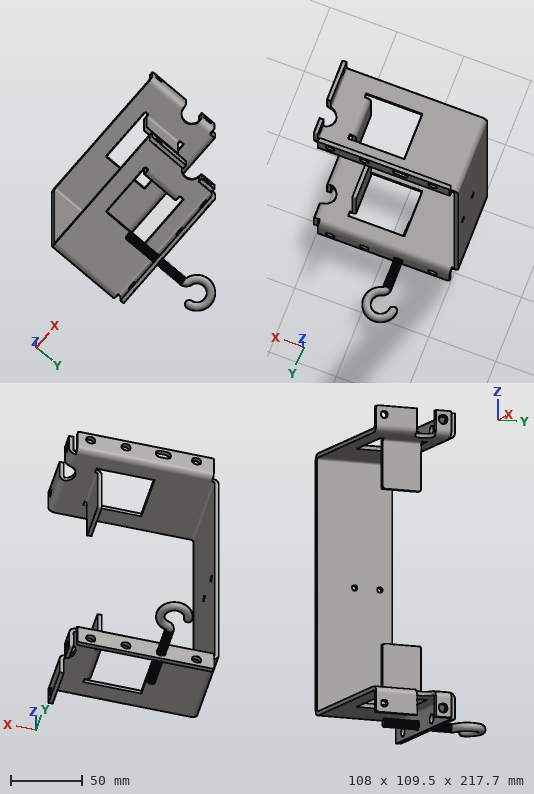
import cadquery as cq
import math

LENGTH_X = 108.0
HEIGHT = 217.7
WALL_DEPTH = 57.0
SHEET = 3.0
BEND_INNER = 1.7
FLANGE_HEIGHT = 15.7
FLANGE_CORNER = 1.5

BEND_OUTER = BEND_INNER + SHEET
HALF_HEIGHT = HEIGHT / 2
PLATE_OUTER = HALF_HEIGHT - FLANGE_HEIGHT
PLATE_INNER = PLATE_OUTER - SHEET
BACK_Y = WALL_DEPTH + BEND_OUTER
BACK_LEFT = BEND_OUTER
BACK_RIGHT = LENGTH_X - BEND_OUTER

WINDOW_LEFT = 44.0
WINDOW_RIGHT = 85.8
WINDOW_FRONT = 12.5
WINDOW_BACK = 47.7
TAB_FRONT = 15.2
TAB_WIDTH = 29.0
TAB_END_Z = 55.0
TAB_LEFT = WINDOW_RIGHT - BEND_OUTER

NOTCH_WIDTH = 14.4
NOTCH_Y = 38.0
NOTCH_DEPTH = 9.4
HOLE_Z = HALF_HEIGHT - 6.3
BACK_HOLE_DIAMETER = 6.5
BACK_HOLE_FIRST_X = 17.5
BACK_HOLE_PITCH = 25.5
PLAIN_HOLE_INDICES = (0, 2, 3)
BOLT_HOLE_INDEX = 1
SLOT_X = 41.4
SLOT_LENGTH = 11.0
SIDE_FRONT_HOLE_Y = 6.0
SIDE_FRONT_HOLE_DIAMETER = 5.0
SIDE_BACK_HOLE_Y = 50.7
SIDE_BACK_HOLE_DIAMETER = 6.5
WEB_HOLE_DIAMETER = 4.0
WEB_HOLE_YS = (28.5, 47.7)

BOLT_X = BACK_HOLE_FIRST_X + BOLT_HOLE_INDEX * BACK_HOLE_PITCH
BOLT_TIP_Y = 33.3
ROD_DIAMETER = 6.0
THREAD_TURNS = 50
THREAD_DEPTH = 0.6
HOOK_RADIUS = 9.8
NECK_RADIUS = 3.7
HOOK_TOP_Y = 109.5
HOOK_END_ANGLE = 173.0

ROD_RADIUS = ROD_DIAMETER / 2
HOOK_Y = HOOK_TOP_Y - ROD_RADIUS - HOOK_RADIUS
NECK_ANGLE = math.acos(NECK_RADIUS / (HOOK_RADIUS + NECK_RADIUS))
NECK_Y = HOOK_Y - (HOOK_RADIUS + NECK_RADIUS) * math.sin(NECK_ANGLE)


def box(x0, x1, y0, y1, z0, z1):
    """Axis-aligned block between opposite corners."""
    return cq.Workplane("XY").box(x1 - x0, y1 - y0, z1 - z0, centered=False).translate((x0, y0, z0))


def bend_edge(body, corner, direction, radius):
    """Round the straight edge that runs along `direction` through the point `corner`."""
    reach = 0.02
    low = [c - reach for c in corner]
    high = [c + reach for c in corner]
    axis = "XYZ".index(direction)
    low[axis] = -HEIGHT
    high[axis] = HEIGHT
    return body.edges(cq.selectors.BoxSelector(low, high)).fillet(radius)


def make_strip():
    """Upper half of the web, the top plate and the side flange, bent from one strip."""
    outline = [
        (0, 0),
        (0, PLATE_OUTER),
        (LENGTH_X - SHEET, PLATE_OUTER),
        (LENGTH_X - SHEET, HALF_HEIGHT),
        (LENGTH_X, HALF_HEIGHT),
        (LENGTH_X, PLATE_INNER),
        (SHEET, PLATE_INNER),
        (SHEET, 0),
    ]
    strip = cq.Workplane("XZ").polyline(outline).close().extrude(-WALL_DEPTH)
    strip = bend_edge(strip, (0, 0, PLATE_OUTER), "Y", BEND_OUTER)
    strip = bend_edge(strip, (SHEET, 0, PLATE_INNER), "Y", BEND_INNER)
    strip = bend_edge(strip, (LENGTH_X, 0, PLATE_INNER), "Y", BEND_OUTER)
    strip = bend_edge(strip, (LENGTH_X - SHEET, 0, PLATE_OUTER), "Y", BEND_INNER)
    for y in (0, WALL_DEPTH):
        strip = bend_edge(strip, (LENGTH_X, y, HALF_HEIGHT), "X", FLANGE_CORNER)
    return strip


def make_back_flange():
    """Flange bent up from the rear edge of the top plate."""
    root_y = WALL_DEPTH - SHEET
    outline = [
        (root_y, PLATE_INNER),
        (root_y, PLATE_OUTER),
        (BACK_Y - SHEET, PLATE_OUTER),
        (BACK_Y - SHEET, HALF_HEIGHT),
        (BACK_Y, HALF_HEIGHT),
        (BACK_Y, PLATE_INNER),
    ]
    flange = cq.Workplane("YZ", origin=(BACK_LEFT, 0, 0)).polyline(outline).close()
    flange = flange.extrude(BACK_RIGHT - BACK_LEFT)
    flange = bend_edge(flange, (0, BACK_Y, PLATE_INNER), "X", BEND_OUTER)
    flange = bend_edge(flange, (0, BACK_Y - SHEET, PLATE_OUTER), "X", BEND_INNER)
    for x in (BACK_LEFT, BACK_RIGHT):
        flange = bend_edge(flange, (x, BACK_Y, HALF_HEIGHT), "Y", FLANGE_CORNER)
    return flange


def make_tab():
    """Tab bent down from the right edge of the window."""
    root_x = WINDOW_RIGHT + SHEET
    inner_x = TAB_LEFT + SHEET
    outline = [
        (root_x, PLATE_OUTER),
        (TAB_LEFT, PLATE_OUTER),
        (TAB_LEFT, TAB_END_Z),
        (inner_x, TAB_END_Z),
        (inner_x, PLATE_INNER),
        (root_x, PLATE_INNER),
    ]
    tab = cq.Workplane("XZ", origin=(0, TAB_FRONT, 0)).polyline(outline).close().extrude(-TAB_WIDTH)
    tab = bend_edge(tab, (TAB_LEFT, 0, PLATE_OUTER), "Y", BEND_OUTER)
    tab = bend_edge(tab, (inner_x, 0, PLATE_INNER), "Y", BEND_INNER)
    for y in (TAB_FRONT, TAB_FRONT + TAB_WIDTH):
        tab = bend_edge(tab, (TAB_LEFT, y, TAB_END_Z), "X", FLANGE_CORNER)
    return tab


def x_hole(x, y, z, diameter):
    """Round cutter through one sheet thickness, starting at x."""
    return cq.Workplane("YZ", origin=(x, y, z)).circle(diameter / 2).extrude(SHEET)


def y_hole(x, z):
    """Round cutter through a back flange."""
    return cq.Workplane("XZ", origin=(x, BACK_Y, z)).circle(BACK_HOLE_DIAMETER / 2).extrude(SHEET)


def make_notch():
    """Cutter for the round-ended notch through the side flange and the plate edge."""
    radius = NOTCH_WIDTH / 2
    centre_x = LENGTH_X - NOTCH_DEPTH + radius
    height = HALF_HEIGHT - PLATE_INNER
    round_end = cq.Workplane("XY", origin=(centre_x, NOTCH_Y, PLATE_INNER)).circle(radius).extrude(height)
    mouth = box(centre_x, LENGTH_X, NOTCH_Y - radius, NOTCH_Y + radius, PLATE_INNER, HALF_HEIGHT)
    return round_end.union(mouth)


def make_upper_half():
    """Upper half of the bracket, without the slot that only the top flange has."""
    window = box(WINDOW_LEFT, WINDOW_RIGHT, WINDOW_FRONT, WINDOW_BACK, PLATE_INNER, PLATE_OUTER)
    half = make_strip().union(make_back_flange()).cut(window).union(make_tab())
    half = half.cut(make_notch())

    side_x = LENGTH_X - SHEET
    half = half.cut(x_hole(side_x, SIDE_FRONT_HOLE_Y, HOLE_Z, SIDE_FRONT_HOLE_DIAMETER))
    half = half.cut(x_hole(side_x, SIDE_BACK_HOLE_Y, HOLE_Z, SIDE_BACK_HOLE_DIAMETER))
    for index in PLAIN_HOLE_INDICES:
        half = half.cut(y_hole(BACK_HOLE_FIRST_X + index * BACK_HOLE_PITCH, HOLE_Z))
    return half


def make_bracket():
    """Bent sheet bracket: two mirrored halves, then the features that are not mirrored."""
    upper = make_upper_half()
    bracket = upper.union(upper.mirror("XY"))
    slot = cq.Workplane("XZ", origin=(SLOT_X, BACK_Y, HOLE_Z)).slot2D(SLOT_LENGTH, BACK_HOLE_DIAMETER)
    bracket = bracket.cut(slot.extrude(SHEET))
    bracket = bracket.cut(y_hole(BOLT_X, -HOLE_Z))
    for y in WEB_HOLE_YS:
        bracket = bracket.cut(x_hole(0, y, 0, WEB_HOLE_DIAMETER))
    return bracket


def make_threaded_shank():
    """Shank along Y with V-grooves, revolved from a saw-tooth outline."""
    root_radius = ROD_RADIUS - THREAD_DEPTH
    pitch = (NECK_Y - BOLT_TIP_Y) / THREAD_TURNS
    outline = [(0, BOLT_TIP_Y), (root_radius, BOLT_TIP_Y)]
    for turn in range(THREAD_TURNS):
        groove_y = BOLT_TIP_Y + turn * pitch
        outline.append((ROD_RADIUS, groove_y + pitch / 2))
        outline.append((root_radius, groove_y + pitch))
    outline.append((0, NECK_Y))
    return cq.Workplane("XY").polyline(outline).close().revolve(360, (0, 0), (0, 1))


def hook_point(degrees):
    """Point of the hook's centreline, with the shank on X = 0."""
    angle = math.radians(degrees)
    return (HOOK_RADIUS * math.cos(angle), HOOK_Y + HOOK_RADIUS * math.sin(angle))


def make_hook():
    """Round rod swept through the neck bend and the open hook, with a ball end."""
    half_turn = NECK_ANGLE / 2
    neck_middle = (
        NECK_RADIUS * (1 - math.cos(half_turn)),
        NECK_Y + NECK_RADIUS * math.sin(half_turn),
    )
    joint_angle = -math.degrees(NECK_ANGLE)
    end = hook_point(HOOK_END_ANGLE)
    path = (
        cq.Workplane("XY")
        .moveTo(0, NECK_Y)
        .threePointArc(neck_middle, hook_point(joint_angle))
        .threePointArc(hook_point(joint_angle / 2), hook_point(0))
        .threePointArc(hook_point(HOOK_END_ANGLE / 2), end)
    )
    rod = cq.Workplane("XZ", origin=(0, NECK_Y, 0)).circle(ROD_RADIUS).sweep(path)
    ball = cq.Workplane("XY").sphere(ROD_RADIUS).translate((*end, 0))
    return rod.union(ball)


def make_hook_bolt():
    """Threaded shank and hook, placed in the lower back flange."""
    bolt = make_threaded_shank().union(make_hook())
    return bolt.translate((BOLT_X, 0, -HOLE_Z))


bracket = make_bracket()
hook_bolt = make_hook_bolt()
result = cq.Compound.makeCompound([bracket.val(), hook_bolt.val()])